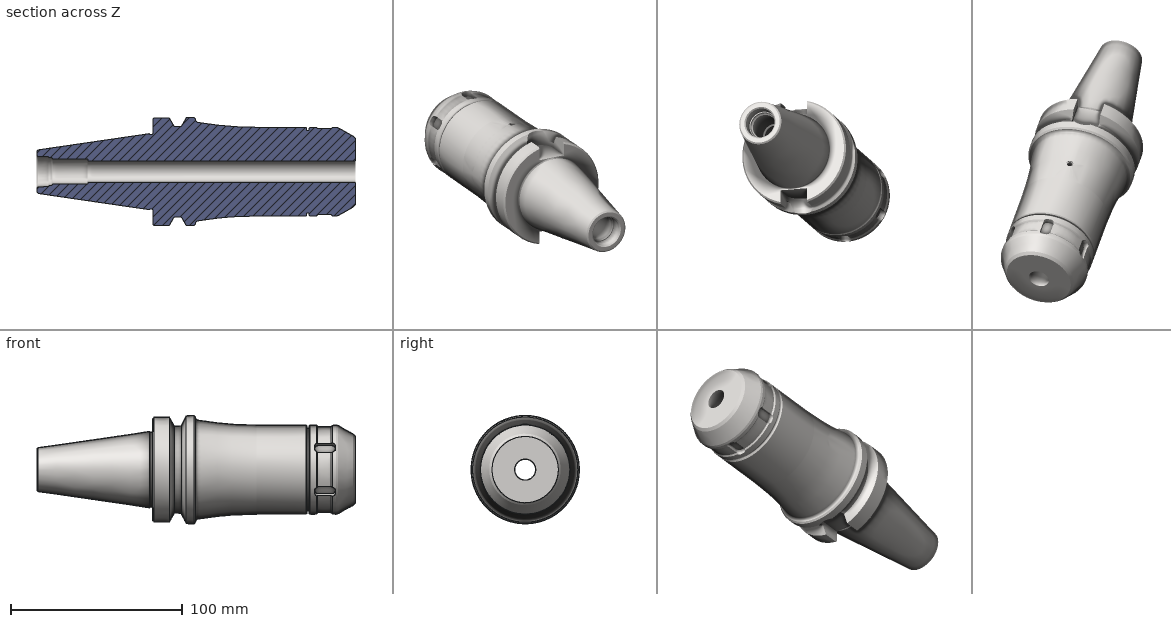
import cadquery as cq
import math

OVERALL_LENGTH = 185.4

TAPER_LENGTH = 65.5
TAPER_GAUGE_RADIUS = 22.2
TAPER_SLOPE = 7 / 24 / 2
TAPER_END_CHAMFER = 0.7
RELIEF_RADIUS = 43.5 / 2
RELIEF_FILLET = 0.5

FLANGE_RADIUS = 63.0 / 2
FLANGE_START = 67.3
FLANGE_END = 92.3
FLANGE_CHAMFER = 1.0
GROOVE_CENTER = 82.0
GROOVE_FLOOR_WIDTH = 4.0
GROOVE_FLOOR_RADIUS = 26.5
GROOVE_FLANK_ANGLE = 30.0

KEYWAY_WIDTH = 16.1
KEYWAY_FLOOR = 22.5
KEYWAY_END = 88.5

BODY_START_RADIUS = 28.7
BODY_FILLET = 1.7
SLEEVE_RADIUS = 52.0 / 2
SLEEVE_START = 128.0
SLEEVE_END = 157.0
SLEEVE_CHAMFER = 0.5

GAP_RADIUS = 48.4 / 2
NUT_START = 158.1
NUT_CHAMFER = 0.7
BAND_RADIUS = 25.2
BAND_START = 162.6
BAND_START_SLOPE = 0.7
BAND_END = 172.0
BAND_END_SLOPE = 1.0
NOSE_BEVEL_START = 174.0
NOSE_START = 175.4
NOSE_START_RADIUS = 25.5
NOSE_END_RADIUS = 20.8
NOSE_CHAMFER = 1.5

SLOT_COUNT = 6
SLOT_CENTER = 167.6
SLOT_LENGTH = 12.0
SLOT_WIDTH = 6.1
SLOT_CORNER = 2.2
SLOT_FLOOR = 22.6

MOUTH_RADIUS = 19.0 / 2
MOUTH_CHAMFER_DEPTH = 0.7
COUNTERBORE_RADIUS = 17.5 / 2
COUNTERBORE_FLOOR_RADIUS = 17.0 / 2
COUNTERBORE_DEPTH = 7.0
THREAD_MAJOR_RADIUS = 16.0 / 2
THREAD_MINOR_RADIUS = 14.3 / 2
THREAD_RUNIN = 1.5
THREAD_DEPTH = 29.7
THROUGH_RADIUS = 12.0 / 2

SCREW_X = 115.7
SCREW_MOUTH_RADIUS = 4.0 / 2
SCREW_RADIUS = 3.3 / 2
SCREW_MOUTH_FLOOR = 25.8
SCREW_FLOOR = 21.3


def make_outer_body():
    """Revolve the outer profile, from the taper to the nose of the nut."""
    taper_small_radius = TAPER_GAUGE_RADIUS - TAPER_LENGTH * TAPER_SLOPE
    relief_chamfer = TAPER_GAUGE_RADIUS - RELIEF_RADIUS
    groove_depth = FLANGE_RADIUS - GROOVE_FLOOR_RADIUS
    flank_run = groove_depth * math.tan(math.radians(GROOVE_FLANK_ANGLE))
    groove_floor_start = GROOVE_CENTER - GROOVE_FLOOR_WIDTH / 2
    groove_floor_end = GROOVE_CENTER + GROOVE_FLOOR_WIDTH / 2

    waist_start = FLANGE_END + BODY_FILLET
    waist_run = SLEEVE_START - waist_start
    waist_rise = BODY_START_RADIUS - SLEEVE_RADIUS
    waist_radius = (waist_run**2 + waist_rise**2) / (2 * waist_rise)
    waist_mid_x = SLEEVE_START - waist_run / 2
    waist_mid_radius = SLEEVE_RADIUS + waist_radius - math.sqrt(waist_radius**2 - (waist_run / 2) ** 2)

    profile = (
        cq.Workplane("XY")
        .moveTo(0, 0)
        .lineTo(0, taper_small_radius - TAPER_END_CHAMFER)
        .lineTo(TAPER_END_CHAMFER, taper_small_radius + TAPER_END_CHAMFER * TAPER_SLOPE)
        .lineTo(TAPER_LENGTH, TAPER_GAUGE_RADIUS)
        .lineTo(TAPER_LENGTH + relief_chamfer, RELIEF_RADIUS)
        .lineTo(FLANGE_START - RELIEF_FILLET, RELIEF_RADIUS)
        .radiusArc((FLANGE_START, RELIEF_RADIUS + RELIEF_FILLET), -RELIEF_FILLET)
        .lineTo(FLANGE_START, FLANGE_RADIUS - FLANGE_CHAMFER)
        .lineTo(FLANGE_START + FLANGE_CHAMFER, FLANGE_RADIUS)
        .lineTo(groove_floor_start - flank_run, FLANGE_RADIUS)
        .lineTo(groove_floor_start, GROOVE_FLOOR_RADIUS)
        .lineTo(groove_floor_end, GROOVE_FLOOR_RADIUS)
        .lineTo(groove_floor_end + flank_run, FLANGE_RADIUS)
        .lineTo(FLANGE_END - FLANGE_CHAMFER, FLANGE_RADIUS)
        .lineTo(FLANGE_END, FLANGE_RADIUS - FLANGE_CHAMFER)
        .lineTo(FLANGE_END, BODY_START_RADIUS + BODY_FILLET)
        .radiusArc((waist_start, BODY_START_RADIUS), -BODY_FILLET)
        .threePointArc((waist_mid_x, waist_mid_radius), (SLEEVE_START, SLEEVE_RADIUS))
        .lineTo(SLEEVE_END - SLEEVE_CHAMFER, SLEEVE_RADIUS)
        .lineTo(SLEEVE_END, SLEEVE_RADIUS - SLEEVE_CHAMFER)
        .lineTo(SLEEVE_END, GAP_RADIUS)
        .lineTo(NUT_START, GAP_RADIUS)
        .lineTo(NUT_START, SLEEVE_RADIUS - NUT_CHAMFER)
        .lineTo(NUT_START + NUT_CHAMFER, SLEEVE_RADIUS)
        .lineTo(BAND_START, SLEEVE_RADIUS)
        .lineTo(BAND_START + BAND_START_SLOPE, BAND_RADIUS)
        .lineTo(BAND_END - BAND_END_SLOPE, BAND_RADIUS)
        .lineTo(BAND_END, SLEEVE_RADIUS)
        .lineTo(NOSE_BEVEL_START, SLEEVE_RADIUS)
        .lineTo(NOSE_START, NOSE_START_RADIUS)
        .lineTo(OVERALL_LENGTH - NOSE_CHAMFER, NOSE_END_RADIUS)
        .lineTo(OVERALL_LENGTH, NOSE_END_RADIUS - NOSE_CHAMFER)
        .lineTo(OVERALL_LENGTH, 0)
        .close()
    )
    return profile.revolve(360, (0, 0, 0), (1, 0, 0))


def make_bore():
    """Counterbored thread hole that narrows to a hole through the part."""
    thread_start = COUNTERBORE_DEPTH + THREAD_RUNIN
    thread_chamfer = THREAD_MAJOR_RADIUS - THREAD_MINOR_RADIUS
    profile = (
        cq.Workplane("XY")
        .moveTo(0, 0)
        .lineTo(0, MOUTH_RADIUS)
        .lineTo(MOUTH_CHAMFER_DEPTH, COUNTERBORE_RADIUS)
        .lineTo(COUNTERBORE_DEPTH, COUNTERBORE_FLOOR_RADIUS)
        .lineTo(COUNTERBORE_DEPTH, THREAD_MAJOR_RADIUS)
        .lineTo(thread_start, THREAD_MAJOR_RADIUS)
        .lineTo(thread_start + thread_chamfer, THREAD_MINOR_RADIUS)
        .lineTo(THREAD_DEPTH, THREAD_MINOR_RADIUS)
        .lineTo(THREAD_DEPTH, THROUGH_RADIUS)
        .lineTo(OVERALL_LENGTH, THROUGH_RADIUS)
        .lineTo(OVERALL_LENGTH, 0)
        .close()
    )
    return profile.revolve(360, (0, 0, 0), (1, 0, 0))


def make_keyway():
    """Flat-bottomed keyway at +Z, open toward the taper and round at its far end."""
    end_radius = KEYWAY_WIDTH / 2
    straight_end = KEYWAY_END - end_radius
    return (
        cq.Workplane("XY", origin=(0, 0, KEYWAY_FLOOR))
        .moveTo(TAPER_LENGTH, -end_radius)
        .lineTo(straight_end, -end_radius)
        .threePointArc((KEYWAY_END, 0), (straight_end, end_radius))
        .lineTo(TAPER_LENGTH, end_radius)
        .close()
        .extrude(FLANGE_RADIUS - KEYWAY_FLOOR)
    )


def make_spanner_slot():
    """Flat-bottomed slot at +Z with rounded corners."""
    return (
        cq.Workplane("XY", origin=(SLOT_CENTER, 0, SLOT_FLOOR))
        .rect(SLOT_LENGTH, SLOT_WIDTH)
        .extrude(FLANGE_RADIUS - SLOT_FLOOR)
        .edges("|Z")
        .fillet(SLOT_CORNER)
    )


def make_screw_hole():
    """Blind radial hole at +Z with a shallow counterbore at its mouth."""
    hole = (
        cq.Workplane("XY", origin=(SCREW_X, 0, SCREW_FLOOR))
        .circle(SCREW_RADIUS)
        .extrude(FLANGE_RADIUS - SCREW_FLOOR)
    )
    mouth = (
        cq.Workplane("XY", origin=(SCREW_X, 0, SCREW_MOUTH_FLOOR))
        .circle(SCREW_MOUTH_RADIUS)
        .extrude(FLANGE_RADIUS - SCREW_MOUTH_FLOOR)
    )
    return hole.union(mouth)


result = make_outer_body().cut(make_bore())

keyway = make_keyway()
for angle in (0, 180):
    result = result.cut(keyway.rotate((0, 0, 0), (1, 0, 0), angle))

spanner_slot = make_spanner_slot()
for index in range(SLOT_COUNT):
    result = result.cut(spanner_slot.rotate((0, 0, 0), (1, 0, 0), index * 360 / SLOT_COUNT))

result = result.cut(make_screw_hole())